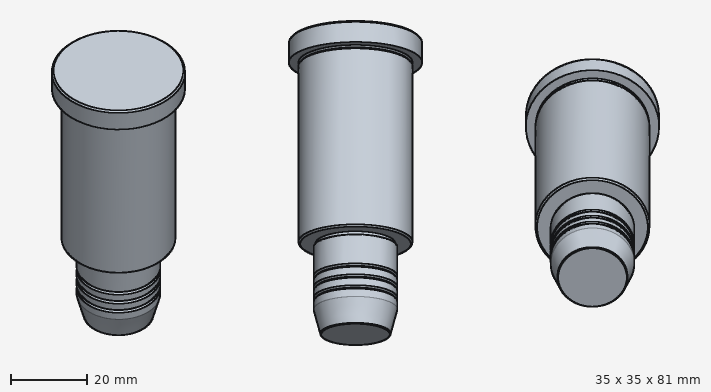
import cadquery as cq

total_height = 81.0
head_height = 6.0
body_bottom = 25.0
relief_height = 1.0
land_bottom = 7.0
groove_tops = (10.05, 13.05, 16.0)
groove_width = 1.0

head_radius = 17.5
body_radius = 15.0
pilot_radius = 11.0
tip_radius = 9.2
groove_depth = 0.5
relief_depth = 0.5

edge_chamfer = 0.5
tip_chamfer = 0.25


def vee_ring(radius, top):
    """Ring that cuts a symmetric V groove below height `top` into a cylinder."""
    profile = (
        cq.Workplane("XZ")
        .moveTo(radius, top)
        .lineTo(radius - groove_depth, top - groove_width / 2)
        .lineTo(radius, top - groove_width)
        .close()
    )
    return profile.revolve(360, (0, 0, 0), (0, 1, 0))


head_bottom = total_height - head_height
relief_bottom = body_bottom - relief_height
relief_radius = pilot_radius - relief_depth

result = (
    cq.Workplane("XZ")
    .moveTo(0, 0)
    .lineTo(tip_radius - tip_chamfer, 0)
    .lineTo(tip_radius, tip_chamfer)
    .lineTo(pilot_radius, land_bottom)
    .lineTo(pilot_radius, relief_bottom)
    .lineTo(relief_radius, relief_bottom)
    .lineTo(relief_radius, body_bottom)
    .lineTo(body_radius - edge_chamfer, body_bottom)
    .lineTo(body_radius, body_bottom + edge_chamfer)
    .lineTo(body_radius, head_bottom)
    .lineTo(head_radius, head_bottom)
    .lineTo(head_radius, total_height - edge_chamfer)
    .lineTo(head_radius - edge_chamfer, total_height)
    .lineTo(0, total_height)
    .close()
    .revolve(360, (0, 0, 0), (0, 1, 0))
)

result = result.cut(vee_ring(body_radius, head_bottom))
for groove_top in groove_tops:
    result = result.cut(vee_ring(pilot_radius, groove_top))